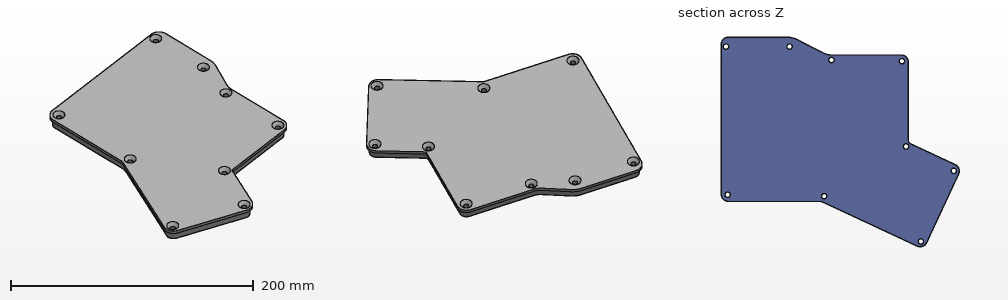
import cadquery as cq
import math

total_height = 10.6
lip_thickness = 2.8
lip_overhang = 2.2

main_right = 158.7
main_bottom = 37.3
main_top = 177.1
step_top = 162.5
slope_start_x = 61.4
slope_end_x = 90.0

wing_angle = math.radians(25)
wing_pivot = (84.3, main_bottom)
wing_length = 94.7
wing_width = 78.6

corner_radius = 8.2
slope_start_radius = 19.0
slope_end_radius = 12.0
pivot_radius = 5.6
inner_corner_radius = 1.0

hole_diameter = 4.2
countersink_diameter = 9.8
countersink_angle = 90
hole_centers = [
    (6.2, 167.0),
    (58.5, 167.0),
    (93.0, 156.0),
    (151.0, 155.0),
    (154.5, 84.9),
    (193.8, 64.8),
    (166.7, 6.6),
    (87.0, 44.0),
    (7.6, 45.1),
]


def wing_point(along, across):
    """Return the XY position of a point given in the turned wing's own directions."""
    x = wing_pivot[0] + along * math.cos(wing_angle) + across * math.sin(wing_angle)
    y = wing_pivot[1] - along * math.sin(wing_angle) + across * math.cos(wing_angle)
    return (x, y)


wing_low_corner = wing_point(wing_length, 0)
wing_high_corner = wing_point(wing_length, wing_width)

inner_corner_rise = (wing_high_corner[0] - main_right) * math.tan(wing_angle)
inner_corner = (main_right, wing_high_corner[1] + inner_corner_rise)

rounded_vertices = [
    ((0, main_bottom), corner_radius),
    (wing_pivot, pivot_radius),
    (wing_low_corner, corner_radius),
    (wing_high_corner, corner_radius),
    (inner_corner, inner_corner_radius),
    ((main_right, step_top), corner_radius),
    ((slope_end_x, step_top), slope_end_radius),
    ((slope_start_x, main_top), slope_start_radius),
    ((0, main_top), corner_radius),
]


def make_plate(inset, height):
    """Extrude the outline, with straight sides moved in by inset and concentric rounding."""
    vertices = [vertex for vertex, radius in rounded_vertices]
    plate = cq.Workplane("XY").polyline(vertices).close().extrude(height)
    for (x, y), radius in rounded_vertices:
        edge = cq.selectors.NearestToPointSelector((x, y, height / 2))
        plate = plate.edges("|Z").edges(edge).fillet(radius)
    if inset > 0:
        plate = plate.faces("<Z").wires().toPending().workplane(origin=(0, 0, 0), invert=True)
        plate = plate.offset2D(-inset).extrude(height, combine=False)
    return plate


body = make_plate(lip_overhang, total_height)
lip_bottom = total_height - lip_thickness
lip = make_plate(0, lip_thickness).translate((0, 0, lip_bottom))

result = (
    body.union(lip)
    .faces(">Z")
    .workplane(origin=(0, 0, total_height))
    .pushPoints(hole_centers)
    .cskHole(hole_diameter, countersink_diameter, countersink_angle)
)